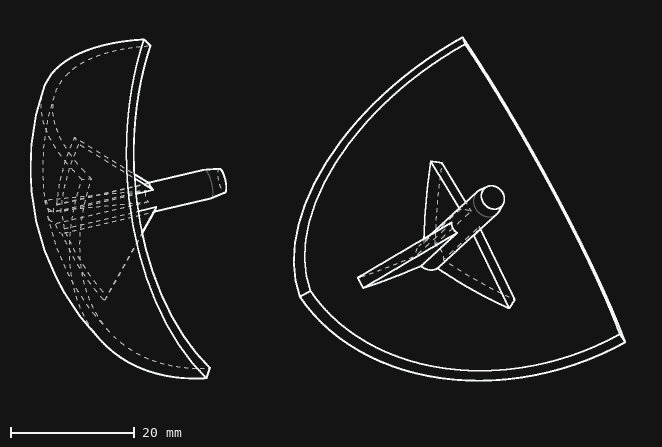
import cadquery as cq
import math

corner_spacing = 56.55
outer_radius = corner_spacing / math.sqrt(2)
wall = 2.0
inner_radius = outer_radius - wall

total_depth = 30.45
pin_diameter = 4.8
pin_tip_diameter = 4.0
pin_taper_length = 2.55

rib_count = 3
rib_thickness = 1.9
rib_start_depth = 18.15

pin_radius = pin_diameter / 2
pin_end_y = total_depth - outer_radius
pin_root_y = -(outer_radius - wall / 2)
rib_start_y = rib_start_depth - outer_radius


def make_octant():
    """Cube with one corner at the sphere centre and equal tilts about the Y axis."""
    upper_corner = cq.Vector(0, -1, math.sqrt(2))
    lower_left_corner = cq.Vector(-math.sqrt(3), -math.sqrt(2), -1)
    tilted = cq.Plane(origin=(0, 0, 0), xDir=lower_left_corner, normal=upper_corner)
    return cq.Workplane(tilted).box(outer_radius, outer_radius, outer_radius, centered=False)


def make_pin():
    """Round pin along Y with a tapered free end."""
    return (
        cq.Workplane("XY")
        .moveTo(0, pin_root_y)
        .lineTo(pin_radius, pin_root_y)
        .lineTo(pin_radius, pin_end_y - pin_taper_length)
        .lineTo(pin_tip_diameter / 2, pin_end_y)
        .lineTo(0, pin_end_y)
        .close()
        .revolve(360, (0, 0, 0), (0, 1, 0))
    )


def make_rib(angle):
    """Triangular rib sloping at 45 degrees from the pin side to the shell."""
    start_radius = math.sqrt(pin_radius**2 - (rib_thickness / 2) ** 2)
    root_radius = start_radius + rib_start_y - pin_root_y
    return (
        cq.Workplane("YZ")
        .polyline(
            [
                (pin_root_y, 0),
                (rib_start_y, 0),
                (rib_start_y, start_radius),
                (pin_root_y, root_radius),
            ]
        )
        .close()
        .extrude(rib_thickness / 2, both=True)
        .rotate((0, 0, 0), (0, 1, 0), angle)
    )


octant = make_octant()
outer_ball = cq.Workplane("XY").sphere(outer_radius)
inner_ball = cq.Workplane("XY").sphere(inner_radius)
shell = octant.intersect(outer_ball).cut(inner_ball)

support = make_pin()
for index in range(rib_count):
    support = support.union(make_rib(index * 360 / rib_count))
support = support.intersect(outer_ball)

result = shell.union(support)